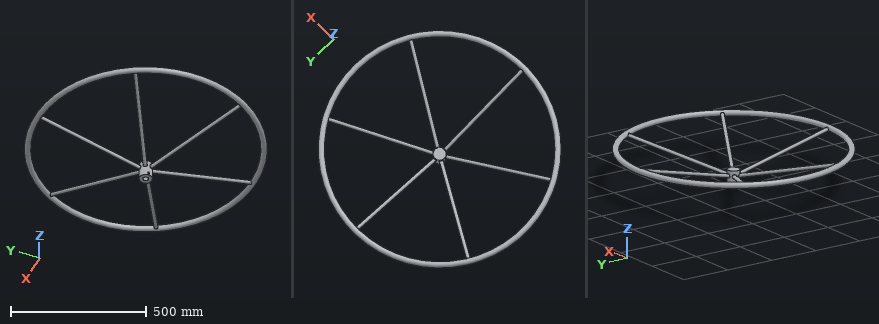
import cadquery as cq
import math

wheel_diameter = 900.0
rim_tube_diameter = 25.0
rim_radius = (wheel_diameter - rim_tube_diameter) / 2

overall_height = 160.0
hub_diameter = 50.0
hub_height = 70.0
rim_height = overall_height - rim_tube_diameter / 2

spoke_count = 6
spoke_diameter = 16.0
first_spoke_angle = 90.0
spoke_root_height = 48.0

bore_diameter = 20.0
bore_depth = 50.0
pin_hole_diameter = 6.0
pin_hole_height = 10.0


def make_rim():
    section = cq.Workplane("XZ").center(rim_radius, rim_height).circle(rim_tube_diameter / 2)
    return section.revolve(360, (-rim_radius, 0), (-rim_radius, 1))


def make_hub():
    return cq.Workplane("XY").circle(hub_diameter / 2).extrude(hub_height)


def make_spoke(angle):
    """Bar from inside the hub wall to the centre line of the rim tube."""
    root_radius = hub_diameter / 2 - spoke_diameter / 2
    rise_per_run = (rim_height - spoke_root_height) / (rim_radius - hub_diameter / 2)
    root_height = spoke_root_height - rise_per_run * spoke_diameter / 2
    run = rim_radius - root_radius
    rise = rim_height - root_height
    start = cq.Vector(root_radius, 0, root_height)
    direction = cq.Vector(run, 0, rise)
    bar = cq.Solid.makeCylinder(spoke_diameter / 2, math.hypot(run, rise), start, direction)
    return cq.Workplane(bar).rotate((0, 0, 0), (0, 0, 1), angle)


def make_bore():
    return cq.Workplane("XY").circle(bore_diameter / 2).extrude(bore_depth)


def make_pin_hole():
    """Radial hole from the -X side of the hub into the shaft bore."""
    hole = cq.Workplane("YZ").center(0, pin_hole_height).circle(pin_hole_diameter / 2)
    return hole.extrude(-hub_diameter / 2)


hub_and_spokes = make_hub()
for index in range(spoke_count):
    angle = first_spoke_angle + index * 360.0 / spoke_count
    hub_and_spokes = hub_and_spokes.union(make_spoke(angle))
hub_and_spokes = hub_and_spokes.cut(make_bore()).cut(make_pin_hole())

result = hub_and_spokes.union(make_rim(), clean=False).solids()